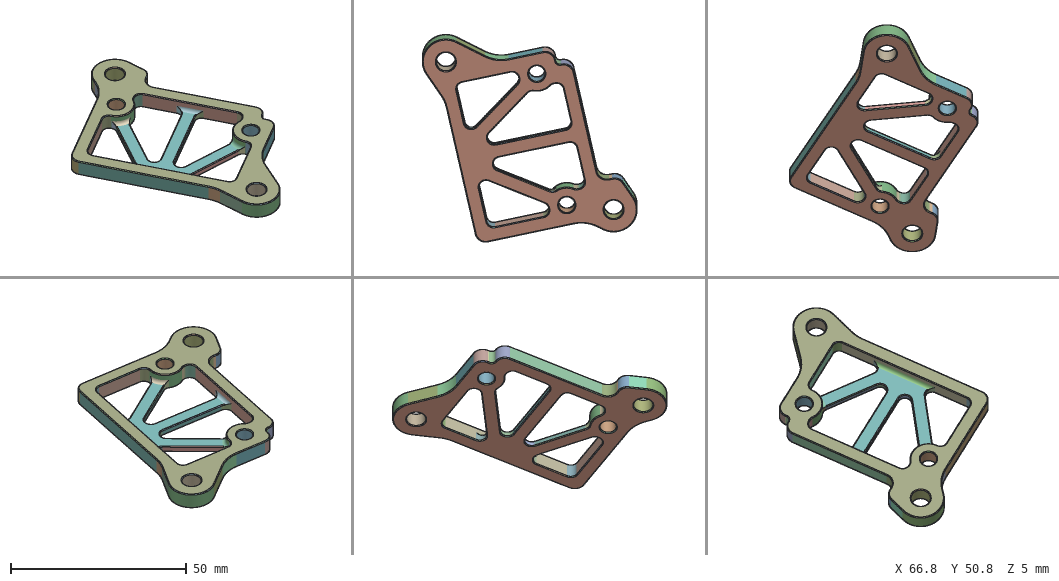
import cadquery as cq
import math


overall_length = 66.75
overall_depth = 50.8
thickness = 5.0
frame_half_width = 26.0
frame_height = 37.85
frame_wall = 4.0
frame_corner_radius = 3.0
edge_chamfer = 0.3

lug_radius = 6.75
lug_hole_diameter = 5.5
lug_spacing_x = overall_length - 2 * lug_radius
lug_spacing_y = overall_depth - 2 * lug_radius
lower_lug = (29.0, 2.8)
upper_lug = (lower_lug[0] - lug_spacing_x, lower_lug[1] + lug_spacing_y)
lug_flat_angle = 21.0
lug_steep_angle = 40.0
lug_blend_radius = 10.0

upper_lug_side_x = -15.1
notch_x = 21.3
shoulder_y = 33.45
notch_radius = 1.3

boss_radius = 5.3
boss_hole_diameter = 4.7
boss_x = 20.0
boss_y = 27.35

window_half_width = frame_half_width - frame_wall
window_upper_half_width = 16.0
window_bottom = frame_wall
window_top = frame_height - frame_wall
window_corner_radius = 2.0
rib_width = 4.0
rib_height = 2.0
rib_root_radius = 1.0
brace_angle = 55.0


def side_along(x, y, heading):
    """A straight side through (x, y), running at the heading in degrees."""
    angle = math.radians(heading)
    return x, y, math.cos(angle), math.sin(angle)


def lug_tangent(centre, heading):
    """The counter-clockwise side at the heading that touches a lug."""
    outward = math.radians(heading - 90)
    x = centre[0] + lug_radius * math.cos(outward)
    y = centre[1] + lug_radius * math.sin(outward)
    return side_along(x, y, heading)


def meet(first, second):
    """The point where two sides cross."""
    x1, y1, dx1, dy1 = first
    x2, y2, dx2, dy2 = second
    travel = ((x2 - x1) * dy2 - (y2 - y1) * dx2) / (dx1 * dy2 - dy1 * dx2)
    return x1 + travel * dx1, y1 + travel * dy1


def rounded_outline(sides):
    """Closed wire of (side, radius) pairs; the radius rounds the corner at the side's far end."""
    path = None
    for index, (side, radius) in enumerate(sides):
        following = sides[(index + 1) % len(sides)][0]
        corner_x, corner_y = meet(side, following)
        _, _, in_x, in_y = side
        _, _, out_x, out_y = following
        turn = math.acos(in_x * out_x + in_y * out_y)
        setback = radius * math.tan(turn / 2)
        bulge = radius / math.cos(turn / 2) - radius
        inward = math.hypot(out_x - in_x, out_y - in_y)
        start = (corner_x - setback * in_x, corner_y - setback * in_y)
        middle = (corner_x + bulge * (out_x - in_x) / inward, corner_y + bulge * (out_y - in_y) / inward)
        end = (corner_x + setback * out_x, corner_y + setback * out_y)
        path = cq.Workplane("XY").moveTo(*start) if path is None else path.lineTo(*start)
        path = path.threePointArc(middle, end)
    return path.close()


def make_plate():
    """Solid plate: the outline of the frame and both lugs."""
    bottom = side_along(0, 0, 0)
    right = side_along(frame_half_width, 0, 90)
    shoulder = side_along(0, shoulder_y, 180)
    notch = side_along(notch_x, 0, 90)
    top = side_along(0, frame_height, 180)
    upper_lug_side = side_along(upper_lug_side_x, 0, 90)
    left = side_along(-frame_half_width, 0, 270)
    outline = rounded_outline([
        (bottom, lug_blend_radius),
        (lug_tangent(lower_lug, -lug_flat_angle), lug_radius),
        (lug_tangent(lower_lug, 90 + lug_steep_angle), lug_blend_radius),
        (right, frame_corner_radius),
        (shoulder, notch_radius),
        (notch, frame_corner_radius),
        (top, frame_corner_radius),
        (upper_lug_side, frame_corner_radius),
        (lug_tangent(upper_lug, 180 - lug_flat_angle), lug_radius),
        (lug_tangent(upper_lug, 270 + lug_steep_angle), lug_blend_radius),
        (left, frame_corner_radius),
    ])
    return outline.extrude(thickness)


def block(x_min, x_max, y_min, y_max):
    """Box between the given limits, standing on the underside level."""
    corner_box = cq.Workplane("XY").box(x_max - x_min, y_max - y_min, thickness, centered=False)
    return corner_box.translate((x_min, y_min, 0))


def make_window():
    """Full-height opening of the frame, with the bosses left standing and square corners."""
    lower = block(-window_half_width, window_half_width, window_bottom, boss_y - boss_radius)
    upper = block(-window_upper_half_width, window_upper_half_width, window_bottom, window_top)
    bosses = cq.Workplane("XY").pushPoints([(-boss_x, boss_y), (boss_x, boss_y)]).circle(boss_radius)
    middle = block(-boss_x, boss_x, window_bottom, boss_y)
    return lower.union(upper).union(middle).cut(bosses.extrude(thickness))


def make_ribs():
    """Centre rib and two diagonal braces aimed at the bosses."""
    reach = 2 * frame_height
    ribs = block(-rib_width / 2, rib_width / 2, 0, frame_height)
    for sign in (-1, 1):
        brace = (
            cq.Workplane("XY")
            .box(reach, rib_width, thickness, centered=(True, True, False))
            .rotate((0, 0, 0), (0, 0, 1), sign * brace_angle)
            .translate((sign * boss_x, boss_y, 0))
        )
        ribs = ribs.union(brace)
    return ribs


def offset_prism(prism, distance, kind="arc"):
    """Prism of the same height with every outline of its footprint moved outward by the distance."""
    height = prism.val().BoundingBox().zlen
    moved = cq.Workplane("XY")
    for wire in prism.faces("<Z").wires().vals():
        for outline in wire.offset2D(distance, kind):
            moved = moved.union(cq.Workplane("XY").add(outline).toPending().extrude(height))
    return moved


def with_round_corners(prism):
    """Prism of the same footprint and height with its inside corners rounded."""
    core = offset_prism(prism, -window_corner_radius, "intersection")
    return offset_prism(core, window_corner_radius)


def make_recess(window):
    """Space above the ribs, with a fillet where their tops run into the walls."""
    recess = with_round_corners(window).translate((0, 0, rib_height))
    return recess.faces("<Z").edges().fillet(rib_root_radius)


def make_rib_bevels(window, openings):
    """Space above the bevelled rib edges, wherever the rib tops are flat."""
    widened = offset_prism(openings, edge_chamfer).faces("<Z").chamfer(edge_chamfer)
    flat_area = offset_prism(window, -rib_root_radius, "intersection")
    return widened.translate((0, 0, rib_height - edge_chamfer)).intersect(flat_area)


def drill(plate, centres, diameter):
    """The plate with a through hole at each centre."""
    holes = cq.Workplane("XY").pushPoints(centres).circle(diameter / 2).extrude(thickness)
    return plate.cut(holes)


window = make_window()
openings = with_round_corners(window.cut(make_ribs()))
frame = make_plate().cut(make_recess(window)).cut(openings)
frame = frame.cut(make_rib_bevels(window, openings))
frame = drill(frame, [upper_lug, lower_lug], lug_hole_diameter)
frame = drill(frame, [(-boss_x, boss_y), (boss_x, boss_y)], boss_hole_diameter)
result = frame.faces("<Z or >Z").chamfer(edge_chamfer)